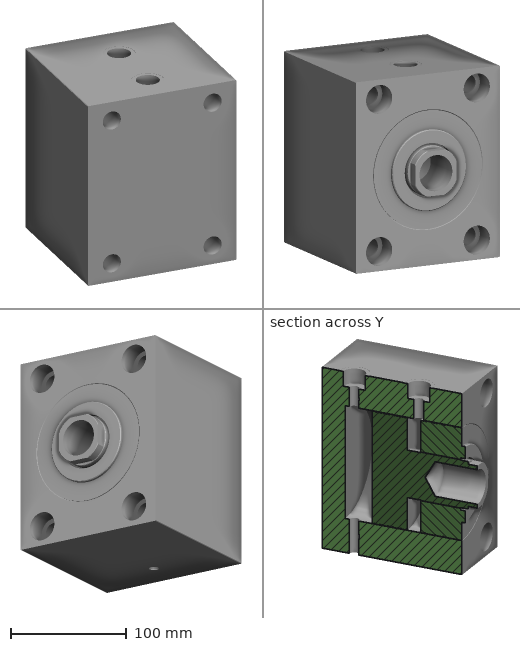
import cadquery as cq
import math


HOUSING_LENGTH = 135.0
HOUSING_WIDTH = 140.0
HOUSING_HEIGHT = 170.0
HOUSING_EDGE_CHAMFER = 0.5

BORE_DIAMETER = 105.4
BORE_DEPTH = 112.2
BORE_MOUTH_CHAMFER = 0.7
MOUTH_TAPER_ANGLE = 45.0

MOUNT_SPACING_Y = 95.0
MOUNT_SPACING_Z = 135.0
MOUNT_HOLE_DIAMETER = 17.0
MOUNT_COUNTERBORE_DIAMETER = 25.5
MOUNT_COUNTERBORE_DEPTH = 18.7

FRONT_PORT_X = 41.8
REAR_PORT_X = 103.9
PORT_SPOTFACE_DIAMETER = 28.2
PORT_SPOTFACE_DEPTH = 0.2
PORT_THREAD_DIAMETER = 20.9
PORT_THREAD_DEPTH = 14.0
PORT_DRILL_DIAMETER = 8.8

GLAND_DEPTH = 40.0
COLLAR_DIAMETER = 72.0
COLLAR_PROJECTION = 3.0
COLLAR_CHAMFER = 0.7
WIPER_RECESS_DIAMETER = 48.5
WIPER_RECESS_DEPTH = 4.2

ROD_DIAMETER = 45.0
ROD_SHOULDER_PROJECTION = 6.0
ROD_CHAMFER = 0.5
PISTON_FRONT_X = 52.7
PISTON_LENGTH = 34.0

HEAD_PROJECTION = 15.0
HEAD_DIAMETER = 44.2
HEAD_ACROSS_FLATS = 40.0
HEAD_EDGE_CHAMFER = 0.5
HEAD_BORE_DIAMETER = 32.0
HEAD_BORE_DEPTH = 40.8
DRILL_POINT_ANGLE = 118.0


def x_cylinder(diameter, x_start, x_end):
    """Cylinder on the X axis between two x positions."""
    return cq.Workplane("YZ").workplane(offset=x_start).circle(diameter / 2).extrude(x_end - x_start)


def cut_mounting_holes(body):
    """Four through holes, counterbored from the front face."""
    return (
        body.faces("<X")
        .workplane(origin=(0, 0, 0))
        .rect(MOUNT_SPACING_Y, MOUNT_SPACING_Z, forConstruction=True)
        .vertices()
        .cboreHole(MOUNT_HOLE_DIAMETER, MOUNT_COUNTERBORE_DIAMETER, MOUNT_COUNTERBORE_DEPTH)
    )


def port_cutter(x, drill_depth):
    """Spotface, thread bore and oil drilling going down from the top face."""
    top = cq.Workplane("XY", origin=(x, 0, HOUSING_HEIGHT / 2))
    spotface = top.circle(PORT_SPOTFACE_DIAMETER / 2).extrude(-PORT_SPOTFACE_DEPTH)
    thread = top.circle(PORT_THREAD_DIAMETER / 2).extrude(-PORT_THREAD_DEPTH)
    drilling = top.circle(PORT_DRILL_DIAMETER / 2).extrude(-drill_depth)
    return spotface.union(thread).union(drilling)


def bore_cutter():
    """Blind cylinder bore with a chamfered mouth."""
    bore = x_cylinder(BORE_DIAMETER, 0, BORE_DEPTH)
    mouth_radius = BORE_DIAMETER / 2 + BORE_MOUTH_CHAMFER
    front = cq.Workplane("YZ").circle(mouth_radius)
    mouth = front.extrude(BORE_MOUTH_CHAMFER, taper=MOUTH_TAPER_ANGLE)
    return bore.union(mouth)


def make_housing():
    """Block with the blind bore, the mounting holes and two oil ports."""
    block = cq.Workplane("XY").box(
        HOUSING_LENGTH, HOUSING_WIDTH, HOUSING_HEIGHT, centered=(False, True, True)
    )
    block = block.edges("|X").chamfer(HOUSING_EDGE_CHAMFER)
    body = cut_mounting_holes(block)
    body = body.cut(bore_cutter())
    body = body.cut(port_cutter(FRONT_PORT_X, HOUSING_HEIGHT / 2))
    return body.cut(port_cutter(REAR_PORT_X, HOUSING_HEIGHT))


def make_gland():
    """Sleeve around the rod, with a raised collar and a wiper recess."""
    sleeve = x_cylinder(BORE_DIAMETER, 0, GLAND_DEPTH)
    collar = x_cylinder(COLLAR_DIAMETER, -COLLAR_PROJECTION, 0).faces("<X").chamfer(COLLAR_CHAMFER)
    rod_passage = x_cylinder(ROD_DIAMETER, -COLLAR_PROJECTION, GLAND_DEPTH)
    wiper_recess = x_cylinder(
        WIPER_RECESS_DIAMETER, -COLLAR_PROJECTION, WIPER_RECESS_DEPTH - COLLAR_PROJECTION
    )
    return sleeve.union(collar).cut(rod_passage).cut(wiper_recess)


def make_wrench_head():
    """Round head with four flats."""
    head = x_cylinder(HEAD_DIAMETER, -HEAD_PROJECTION, -ROD_SHOULDER_PROJECTION)
    head = head.faces("<X").chamfer(HEAD_EDGE_CHAMFER)
    flats = cq.Workplane("YZ").rect(HEAD_ACROSS_FLATS, HEAD_ACROSS_FLATS).extrude(-HEAD_PROJECTION)
    return head.intersect(flats)


def make_head_bore():
    """Blind bore on the X axis with a conical drill point."""
    radius = HEAD_BORE_DIAMETER / 2
    cone_start = HEAD_BORE_DEPTH - HEAD_PROJECTION
    cone_tip = cone_start + radius / math.tan(math.radians(DRILL_POINT_ANGLE / 2))
    half_profile = [(-HEAD_PROJECTION, 0), (-HEAD_PROJECTION, radius), (cone_start, radius), (cone_tip, 0)]
    return cq.Workplane("XZ").polyline(half_profile).close().revolve(360, (0, 0, 0), (1, 0, 0))


def make_piston_rod():
    """Rod with a piston at the rear and a bored wrench head at the front."""
    shaft = x_cylinder(ROD_DIAMETER, -ROD_SHOULDER_PROJECTION, PISTON_FRONT_X)
    shaft = shaft.faces("<X").chamfer(ROD_CHAMFER)
    piston = x_cylinder(BORE_DIAMETER, PISTON_FRONT_X, PISTON_FRONT_X + PISTON_LENGTH)
    return shaft.union(piston).union(make_wrench_head()).cut(make_head_bore())


housing = make_housing()
gland = make_gland()
piston_rod = make_piston_rod()

result = cq.Compound.makeCompound([housing.val(), gland.val(), piston_rod.val()])